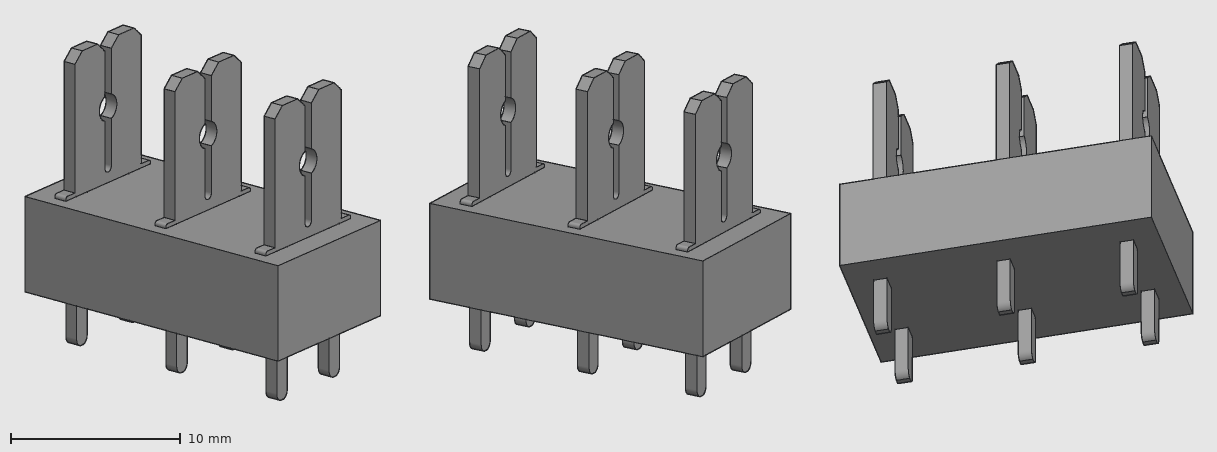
import cadquery as cq

housing_length = 19.0
housing_width = 9.8
housing_height = 6.0

terminal_count = 3
terminal_pitch = 7.5
terminal_thickness = 0.82

blade_width = 6.35
blade_height = 9.0
tip_chamfer_width = 0.7
tip_chamfer_height = 0.65
slot_width = 0.6
slot_depth = 8.35
hole_diameter = 1.65
hole_depth = 4.3

shoulder_width = 8.1
shoulder_height = 0.27
shoulder_radius = 0.19

leg_width = 1.0
leg_spacing = 5.0
leg_length_below = 3.5
leg_tip_height = 0.5
leg_tip_flat = 0.3

blade_top = housing_height + blade_height
terminal_positions = [
    (index - (terminal_count - 1) / 2) * terminal_pitch for index in range(terminal_count)
]
leg_positions = [-leg_spacing / 2, leg_spacing / 2]


def terminal_plane():
    """YZ workplane on the -X face of a terminal that is centred on X = 0."""
    return cq.Workplane("YZ", origin=(-terminal_thickness / 2, 0, 0))


def plate(width, bottom, top):
    """Flat plate of terminal thickness, centred on X = 0."""
    return cq.Workplane("XY").box(terminal_thickness, width, top - bottom).translate(
        (0, 0, (bottom + top) / 2)
    )


def make_prong():
    """Prong on the +Y side of the slot, with both corners of its tip cut off."""
    inner = slot_width / 2
    outer = blade_width / 2
    chamfer_start = blade_top - tip_chamfer_height
    return (
        terminal_plane()
        .moveTo(inner, housing_height)
        .lineTo(outer, housing_height)
        .lineTo(outer, chamfer_start)
        .lineTo(outer - tip_chamfer_width, blade_top)
        .lineTo(inner + tip_chamfer_width, blade_top)
        .lineTo(inner, chamfer_start)
        .close()
        .extrude(terminal_thickness)
    )


def cross_hole(diameter, z):
    """Round cutter along X that crosses the blade on its centre line."""
    return (
        terminal_plane()
        .center(0, z)
        .circle(diameter / 2)
        .extrude(terminal_thickness)
    )


def make_blade():
    """Two prongs joined by a web below the round-ended slot, with a hole across the slot."""
    prong = make_prong()
    slot_end_z = blade_top - slot_depth + slot_width / 2
    web = plate(slot_width, housing_height, slot_end_z)
    return (
        prong.union(prong.mirror("XZ"))
        .union(web)
        .cut(cross_hole(slot_width, slot_end_z))
        .cut(cross_hole(hole_diameter, blade_top - hole_depth))
    )


def make_shoulder():
    """Low strip under the blade with rounded upper ends."""
    strip = plate(shoulder_width, housing_height, housing_height + shoulder_height)
    return strip.edges("|X and >Z").fillet(shoulder_radius)


def make_leg(y):
    """Straight leg from the shoulder down; arcs tangent to its sides lead to a small flat tip."""
    half_width = leg_width / 2
    half_flat = leg_tip_flat / 2
    tip_z = -leg_length_below
    arc_start_z = tip_z + leg_tip_height
    half_leg = (
        terminal_plane()
        .moveTo(0, housing_height)
        .lineTo(half_width, housing_height)
        .lineTo(half_width, arc_start_z)
        .tangentArcPoint((half_flat, tip_z), relative=False)
        .lineTo(0, tip_z)
        .close()
        .extrude(terminal_thickness)
    )
    return half_leg.union(half_leg.mirror("XZ")).translate((0, y, 0))


def make_terminal(x):
    """One-piece terminal: blade, shoulder and legs."""
    terminal = make_blade().union(make_shoulder())
    for y in leg_positions:
        terminal = terminal.union(make_leg(y))
    return terminal.translate((x, 0, 0))


def make_housing():
    """Block with a rectangular through hole for every leg."""
    block = cq.Workplane("XY").box(
        housing_length, housing_width, housing_height, centered=(True, True, False)
    )
    leg_centres = [(x, y) for x in terminal_positions for y in leg_positions]
    leg_holes = (
        cq.Workplane("XY")
        .pushPoints(leg_centres)
        .rect(terminal_thickness, leg_width)
        .extrude(housing_height)
    )
    return block.cut(leg_holes)


housing = make_housing()
terminals = [make_terminal(x) for x in terminal_positions]

result = cq.Compound.makeCompound([housing.val(), *[terminal.val() for terminal in terminals]])